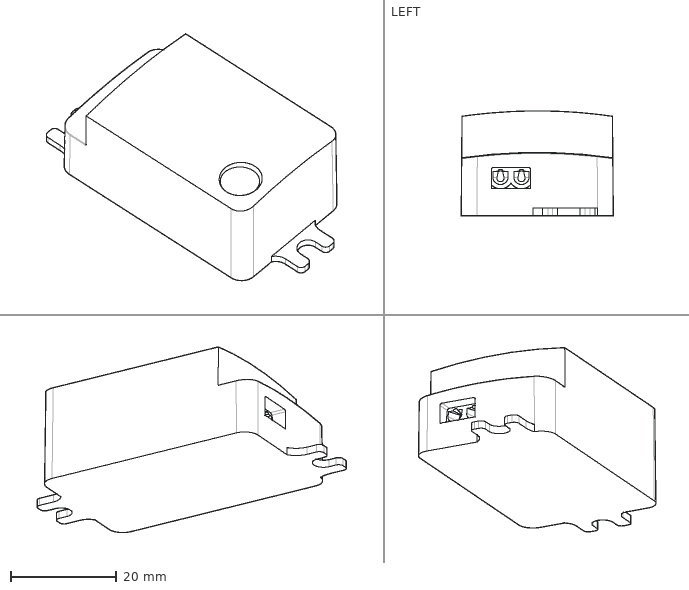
import cadquery as cq
import math

BODY_LENGTH = 47.0
BODY_WIDTH = 29.0
BODY_HEIGHT = 20.0
CORNER_RADIUS = 3.0
WALL_DRAFT = 0.17
CROWN_RADIUS = 100.0
STEP_X = -16.4
SHELF_HEIGHT = 12.0
SHELF_FILLET = 0.1

TOTAL_LENGTH = 59.97
TAB_THICKNESS = 1.5
TAB_HALF_WIDTH = 5.0
TAB_SLOT_RADIUS = 2.1
TAB_TIP_RADIUS = 1.0
LEFT_TAB_Y = -6.0
LEFT_SLOT_DEPTH = 4.6
LEFT_OUTER_ROOT_RUN = 2.5
LEFT_OUTER_ROOT_RISE = 0.5
LEFT_INNER_ROOT_RUN = 3.4
LEFT_INNER_ROOT_RISE = 1.8
RIGHT_TAB_Y = 0.0
RIGHT_SLOT_DEPTH = 4.85
RIGHT_ROOT_RUN = 2.4
RIGHT_ROOT_RISE = 1.33

RECESS_X = 17.0
RECESS_Y = -8.0
RECESS_FLOOR_Z = 19.17
RECESS_FLOOR_RADIUS = 3.75
RECESS_WALL_SLOPE = 0.72

SOCKET_Y = 5.0
SOCKET_WIDTH = 7.5
SOCKET_BOTTOM_Z = 5.2
SOCKET_TOP_Z = 9.2
SOCKET_CORNER_RADIUS = 0.4
SOCKET_DEPTH = 2.8
FACE_TILT = 11.0
CONTACT_PITCH = 4.0
LOBE_RADIUS = 2.4
LOBE_Z = 7.55
RELIEF_DEPTH = 1.0
HOLE_DEPTH = 3.0
HOLE_TOP_Z = 8.5
MOUTH_RADIUS = 1.45
MOUTH_ARC_Z = 7.4
THROAT_RADIUS = 0.7
THROAT_ARC_Z = 7.2
THROAT_TOP_HALF_WIDTH = 0.4
KEY_MOUTH_RADIUS = 0.5
KEY_THROAT_RADIUS = 0.15
KEY_Z = 8.4

WALL_X = -BODY_LENGTH / 2
FACE_X = WALL_X + SOCKET_DEPTH
RELIEF_END_X = FACE_X + RELIEF_DEPTH
SOCKET_HEIGHT = SOCKET_TOP_Z - SOCKET_BOTTOM_Z
SOCKET_MID_Z = (SOCKET_TOP_Z + SOCKET_BOTTOM_Z) / 2


def crowned_block(x_start, x_end, crown_z):
    """Block below a shallow cylindrical crown whose ridge runs along X at crown_z."""
    half_width = BODY_WIDTH / 2
    side_z = crown_z - CROWN_RADIUS + math.sqrt(CROWN_RADIUS**2 - half_width**2)
    return (
        cq.Workplane("YZ", origin=(x_start, 0, 0))
        .moveTo(-half_width, 0)
        .lineTo(half_width, 0)
        .lineTo(half_width, side_z)
        .threePointArc((0, crown_z), (-half_width, side_z))
        .close()
        .extrude(x_end - x_start)
    )


def rounded_plate(length, width):
    """Sketch of a rectangle with rounded corners."""
    return cq.Sketch().rect(length, width).vertices().fillet(CORNER_RADIUS)


def enclosure():
    """Drafted, round-cornered box with a crowned roof and a lower, finely rounded shelf at -X."""
    base = rounded_plate(BODY_LENGTH, BODY_WIDTH)
    roof = rounded_plate(BODY_LENGTH - 2 * WALL_DRAFT, BODY_WIDTH - 2 * WALL_DRAFT)
    shell = (
        cq.Workplane("XY")
        .placeSketch(base, roof.moved(cq.Location(cq.Vector(0, 0, BODY_HEIGHT))))
        .loft(ruled=True)
    )
    low_end = crowned_block(WALL_X, STEP_X, SHELF_HEIGHT)
    high_end = crowned_block(STEP_X, BODY_LENGTH / 2, BODY_HEIGHT)
    body = shell.intersect(low_end.union(high_end))
    shelf_point = (WALL_X + CORNER_RADIUS, 0, SHELF_HEIGHT)
    shelf_face = body.faces(cq.selectors.NearestToPointSelector(shelf_point))
    return shelf_face.edges().fillet(SHELF_FILLET)


def mounting_tab(side, center_y, slot_depth, low_root, high_root):
    """Forked tab at the end wall on the given side (+1 or -1), flared by arcs of (run, rise)."""
    wall = BODY_LENGTH / 2
    tip = TOTAL_LENGTH / 2
    inside = wall - CORNER_RADIUS

    def root_arc(sign, run, rise):
        """Tangent end, middle and wall end of the flare on one edge."""
        root_radius = (run**2 + rise**2) / (2 * rise)
        half_angle = math.asin(run / root_radius) / 2
        tangent = (wall + run, sign * TAB_HALF_WIDTH)
        middle = (
            wall + run - root_radius * math.sin(half_angle),
            sign * (TAB_HALF_WIDTH + root_radius * (1 - math.cos(half_angle))),
        )
        end = (wall, sign * (TAB_HALF_WIDTH + rise))
        return tangent, middle, end

    low_tangent, low_middle, low_end = root_arc(-1, *low_root)
    high_tangent, high_middle, high_end = root_arc(1, *high_root)
    slot_center_x = tip - slot_depth + TAB_SLOT_RADIUS
    tab = (
        cq.Workplane("XY")
        .moveTo(inside, low_end[1])
        .lineTo(*low_end)
        .threePointArc(low_middle, low_tangent)
        .lineTo(tip, -TAB_HALF_WIDTH)
        .lineTo(tip, -TAB_SLOT_RADIUS)
        .lineTo(slot_center_x, -TAB_SLOT_RADIUS)
        .threePointArc((tip - slot_depth, 0), (slot_center_x, TAB_SLOT_RADIUS))
        .lineTo(tip, TAB_SLOT_RADIUS)
        .lineTo(tip, TAB_HALF_WIDTH)
        .lineTo(*high_tangent)
        .threePointArc(high_middle, high_end)
        .lineTo(inside, high_end[1])
        .close()
        .extrude(TAB_THICKNESS)
    )
    tab = tab.faces(">X").edges("|Z").fillet(TAB_TIP_RADIUS)
    if side < 0:
        tab = tab.mirror("YZ")
    return tab.translate((0, center_y, 0))


def roof_recess():
    """Conical cutter that leaves a flat round floor in the crowned roof."""
    height = BODY_HEIGHT - RECESS_FLOOR_Z
    top_radius = RECESS_FLOOR_RADIUS + RECESS_WALL_SLOPE * height
    cone = cq.Solid.makeCone(
        RECESS_FLOOR_RADIUS, top_radius, height, pnt=cq.Vector(RECESS_X, RECESS_Y, RECESS_FLOOR_Z)
    )
    return cq.Workplane(cone)


def socket_box(depth):
    """Rectangular socket volume, from the end wall inwards, with rounded upper corners."""
    return (
        cq.Workplane("XY")
        .box(depth, SOCKET_WIDTH, SOCKET_HEIGHT, centered=(False, True, True))
        .translate((WALL_X, SOCKET_Y, SOCKET_MID_Z))
        .edges("|X and >Z")
        .fillet(SOCKET_CORNER_RADIUS)
    )


def entry_pocket():
    """Open front of the socket, ending at the connector face that leans back towards its top."""
    lean = SOCKET_HEIGHT * math.tan(math.radians(FACE_TILT))
    side_profile = (
        cq.Workplane("XZ", origin=(0, SOCKET_Y, 0))
        .moveTo(WALL_X, SOCKET_BOTTOM_Z)
        .lineTo(FACE_X - lean / 2, SOCKET_BOTTOM_Z)
        .lineTo(FACE_X + lean / 2, SOCKET_TOP_Z)
        .lineTo(WALL_X, SOCKET_TOP_Z)
        .close()
    )
    return side_profile.extrude(SOCKET_WIDTH / 2, both=True).intersect(socket_box(SOCKET_DEPTH + lean))


def hole_wire(radius, arc_z, top_half_width):
    """Flat-topped U outline of a contact hole, in the Y-Z plane through the origin."""
    outline = (
        cq.Workplane("YZ")
        .moveTo(-top_half_width, HOLE_TOP_Z - SOCKET_MID_Z)
        .lineTo(top_half_width, HOLE_TOP_Z - SOCKET_MID_Z)
        .lineTo(radius, arc_z - SOCKET_MID_Z)
        .threePointArc((0, arc_z - radius - SOCKET_MID_Z), (-radius, arc_z - SOCKET_MID_Z))
        .close()
    )
    return outline.val()


def contact_hole(y):
    """Contact hole narrowing inwards from a wide U mouth, with a tapering round key along its top."""
    mouth = hole_wire(MOUTH_RADIUS, MOUTH_ARC_Z, MOUTH_RADIUS)
    mouth = mouth.rotate((0, 0, 0), (0, 1, 0), FACE_TILT)
    throat = hole_wire(THROAT_RADIUS, THROAT_ARC_Z, THROAT_TOP_HALF_WIDTH)
    throat = throat.translate(cq.Vector(HOLE_DEPTH, 0, 0))
    funnel = cq.Solid.makeLoft([mouth, throat], True).translate(cq.Vector(FACE_X, y, SOCKET_MID_Z))
    key = cq.Solid.makeCone(
        KEY_MOUTH_RADIUS,
        KEY_THROAT_RADIUS,
        HOLE_DEPTH,
        pnt=cq.Vector(FACE_X, y, KEY_Z),
        dir=cq.Vector(1, 0, 0),
    )
    return cq.Workplane(funnel).union(cq.Workplane(key))


def lobed_connector(contact_ys):
    """Connector body: a block filling the upper socket, with a round lobe below each contact."""
    connector = (
        cq.Workplane("XY")
        .box(RELIEF_END_X - WALL_X, SOCKET_WIDTH, SOCKET_TOP_Z - LOBE_Z, centered=(False, True, False))
        .translate((WALL_X, SOCKET_Y, LOBE_Z))
    )
    for y in contact_ys:
        lobe = cq.Workplane("YZ", origin=(WALL_X, y, LOBE_Z)).circle(LOBE_RADIUS)
        connector = connector.union(lobe.extrude(RELIEF_END_X - WALL_X))
    return connector


def connector_socket():
    """Cutter for the socket: entry pocket, relief below the lobed connector, contact holes."""
    contact_ys = [SOCKET_Y + sign * CONTACT_PITCH / 2 for sign in (-1, 1)]
    relief = socket_box(RELIEF_END_X - WALL_X).cut(lobed_connector(contact_ys))
    cutter = relief.union(entry_pocket())
    for y in contact_ys:
        cutter = cutter.union(contact_hole(y))
    return cutter


left_tab = mounting_tab(
    -1,
    LEFT_TAB_Y,
    LEFT_SLOT_DEPTH,
    (LEFT_OUTER_ROOT_RUN, LEFT_OUTER_ROOT_RISE),
    (LEFT_INNER_ROOT_RUN, LEFT_INNER_ROOT_RISE),
)
right_root = (RIGHT_ROOT_RUN, RIGHT_ROOT_RISE)
right_tab = mounting_tab(1, RIGHT_TAB_Y, RIGHT_SLOT_DEPTH, right_root, right_root)

result = enclosure().union(left_tab).union(right_tab).cut(roof_recess()).cut(connector_socket())